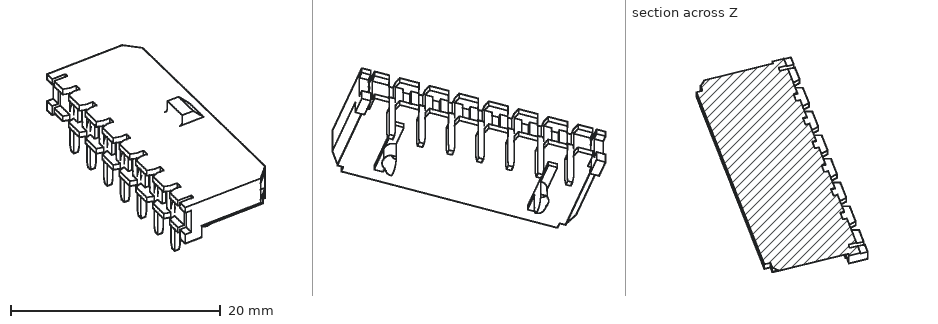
import cadquery as cq
import math


OVERALL_HEIGHT = 8.76

WIDTH = 24.65
DEPTH = 9.9
TOP_Z = 4.36
BASE_Z = 0.5
HALF_WIDTH = WIDTH / 2
CORNER_CHAMFER = 1.4
CORNER_X = HALF_WIDTH - CORNER_CHAMFER
EDGE_BEVEL = 0.79
EDGE_BEVEL_Z = 0.63

REAR_WALL_Y = 0.7
UPPER_FLANGE_Z = TOP_Z - 0.65
LOWER_FLANGE_Z = BASE_Z + 0.61
GROOVE_WIDTH = 0.8
GROOVE_DEPTH = 0.4

FOOT_WIDTH = 0.93
FOOT_LENGTH = 1.88
SLOT_OUTER_X = HALF_WIDTH - FOOT_WIDTH
SLOT_WIDTH = 0.36
SLOT_DEPTH = 1.5
CHANNEL_Z = 2.74

UPPER_RELIEF_Z = 1.74
LOWER_RELIEF_Z = 1.45
LOWER_RELIEF_DEPTH = CORNER_CHAMFER - EDGE_BEVEL

PIN_COUNT = 7
PITCH = 3.0
PIN_SIZE = 0.64
PIN_LENGTH = 3.2
PIN_TIP_LENGTH = 0.68
PIN_TIP_SIZE = 0.5
PIN_SLOT_DEPTH = 0.69
BEND_BOTTOM_Z = 1.53
BEND_TOP_Z = 2.8
NOTCH_WIDTH = 1.06

LATCH_WIDTH = 2.62
LATCH_HEIGHT = OVERALL_HEIGHT - PIN_LENGTH - TOP_Z
LATCH_TOE_Y = DEPTH - 0.85
LATCH_CREST_Y = DEPTH - 2.02
LATCH_BACK_Y = DEPTH - 3.27
LATCH_FILLET = 0.3

RAIL_FRONT_Y = DEPTH - 1.7
RAIL_REAR_Y = DEPTH - 7.73
PEG_FLAT_X = 7.3
PEG_Y = DEPTH - 4.59
PEG_RADIUS = 0.905
BARB_RADIUS = 1.06
BARB_Z = -1.8
DOME_RADIUS = 0.7
DOME_HEIGHT = 0.42

PIN_XS = [(i - (PIN_COUNT - 1) / 2) * PITCH for i in range(PIN_COUNT)]


def block(x0, x1, y0, y1, z0, z1):
    """Axis-aligned box between the given limits."""
    return cq.Workplane("XY").box(x1 - x0, y1 - y0, z1 - z0, centered=False).translate((x0, y0, z0))


def both_ends(shape):
    """The shape on the +X end joined with its mirror on the -X end."""
    return shape.union(shape.mirror("YZ"))


def make_housing():
    """Housing block with chamfered front corners and a set-in rear wall."""
    body = block(-HALF_WIDTH, HALF_WIDTH, 0, DEPTH, BASE_Z, TOP_Z)
    body = body.edges("|Z and >Y").chamfer(CORNER_CHAMFER)
    body = body.cut(block(-HALF_WIDTH, HALF_WIDTH, 0, REAR_WALL_Y, LOWER_FLANGE_Z, UPPER_FLANGE_Z))
    for left, right in zip(PIN_XS, PIN_XS[1:]):
        middle = (left + right) / 2
        groove_floor = REAR_WALL_Y + GROOVE_DEPTH
        body = body.cut(block(middle - GROOVE_WIDTH / 2, middle + GROOVE_WIDTH / 2,
                              REAR_WALL_Y, groove_floor, LOWER_FLANGE_Z, UPPER_FLANGE_Z))
    return body


def make_edge_bevel():
    """Material removed along the lower +X edge, in front of the foot."""
    inner_x = HALF_WIDTH - EDGE_BEVEL
    return (
        cq.Workplane("XZ", origin=(0, FOOT_LENGTH, 0))
        .moveTo(HALF_WIDTH, EDGE_BEVEL_Z + EDGE_BEVEL)
        .lineTo(inner_x, EDGE_BEVEL_Z)
        .lineTo(inner_x, BASE_Z)
        .lineTo(HALF_WIDTH, BASE_Z)
        .close()
        .extrude(-(DEPTH - FOOT_LENGTH))
    )


def make_end_cuts():
    """Bevel, corner reliefs, rear slot and through channel of the +X end."""
    slot_inner_x = SLOT_OUTER_X - SLOT_WIDTH
    upper_relief = block(CORNER_X, HALF_WIDTH, DEPTH - CORNER_CHAMFER, DEPTH,
                         UPPER_RELIEF_Z, UPPER_FLANGE_Z)
    lower_relief = block(CORNER_X, HALF_WIDTH, DEPTH - LOWER_RELIEF_DEPTH, DEPTH,
                         BASE_Z, LOWER_RELIEF_Z)
    slot = block(slot_inner_x, SLOT_OUTER_X, 0, SLOT_DEPTH, BASE_Z, TOP_Z)
    channel = block(CORNER_X, SLOT_OUTER_X, SLOT_DEPTH, DEPTH, CHANNEL_Z, UPPER_FLANGE_Z)
    return make_edge_bevel().union(upper_relief).union(lower_relief).union(slot).union(channel)


def make_foot():
    """Standing foot below the rear of the +X end."""
    return block(SLOT_OUTER_X, HALF_WIDTH, 0, FOOT_LENGTH, 0, LOWER_FLANGE_Z)


def make_pin_recess(x):
    """Flared notch through both flanges and the slot down to the contact bend."""
    flare = (
        cq.Workplane("XY", origin=(x, 0, BASE_Z))
        .moveTo(-NOTCH_WIDTH / 2, 0)
        .lineTo(-PIN_SIZE / 2, REAR_WALL_Y)
        .lineTo(PIN_SIZE / 2, REAR_WALL_Y)
        .lineTo(NOTCH_WIDTH / 2, 0)
        .close()
        .extrude(TOP_Z - BASE_Z)
    )
    slot_floor = REAR_WALL_Y + PIN_SLOT_DEPTH
    rise = BEND_TOP_Z - BEND_BOTTOM_Z
    bend_radius = (PIN_SLOT_DEPTH**2 + rise**2) / (2 * PIN_SLOT_DEPTH)
    half_angle = math.asin(rise / bend_radius) / 2
    arc_mid_y = REAR_WALL_Y + bend_radius * (1 - math.cos(half_angle))
    arc_mid_z = BEND_BOTTOM_Z + bend_radius * math.sin(half_angle)
    slot = (
        cq.Workplane("YZ", origin=(x - PIN_SIZE / 2, 0, 0))
        .moveTo(REAR_WALL_Y, BEND_BOTTOM_Z)
        .threePointArc((arc_mid_y, arc_mid_z), (slot_floor, BEND_TOP_Z))
        .lineTo(slot_floor, TOP_Z)
        .lineTo(REAR_WALL_Y, TOP_Z)
        .close()
        .extrude(PIN_SIZE)
    )
    return flare.union(slot)


def make_pin(x):
    """Square contact leg, flush with the rear wall, with a tapered tip."""
    tip_z = PIN_TIP_LENGTH - PIN_LENGTH
    leg = block(x - PIN_SIZE / 2, x + PIN_SIZE / 2, REAR_WALL_Y, REAR_WALL_Y + PIN_SIZE,
                tip_z, BEND_BOTTOM_Z)
    tip = (
        cq.Workplane("XY", origin=(x, REAR_WALL_Y + PIN_SIZE / 2, tip_z))
        .rect(PIN_SIZE, PIN_SIZE)
        .workplane(offset=-PIN_TIP_LENGTH)
        .rect(PIN_TIP_SIZE, PIN_TIP_SIZE)
        .loft()
    )
    return leg.union(tip)


def make_latch():
    """Latch ramp with a concave fillet at the foot of its steep rear side."""
    crest_z = TOP_Z + LATCH_HEIGHT
    fillet_mid = LATCH_FILLET * (1 - math.sqrt(0.5))
    return (
        cq.Workplane("YZ", origin=(-LATCH_WIDTH / 2, 0, 0))
        .moveTo(LATCH_TOE_Y, TOP_Z)
        .lineTo(LATCH_CREST_Y, crest_z)
        .lineTo(LATCH_BACK_Y, crest_z)
        .lineTo(LATCH_BACK_Y, TOP_Z + LATCH_FILLET)
        .threePointArc((LATCH_BACK_Y - fillet_mid, TOP_Z + fillet_mid),
                       (LATCH_BACK_Y - LATCH_FILLET, TOP_Z))
        .close()
        .extrude(LATCH_WIDTH)
    )


def make_peg():
    """Rail and half-round snap peg on the +X side."""
    rail = block(PEG_FLAT_X, PEG_FLAT_X + PEG_RADIUS, RAIL_REAR_Y, RAIL_FRONT_Y, 0, BASE_Z)
    dome_z = DOME_HEIGHT - PIN_LENGTH
    sphere_radius = (DOME_RADIUS**2 + DOME_HEIGHT**2) / (2 * DOME_HEIGHT)
    half_angle = math.asin(DOME_RADIUS / sphere_radius) / 2
    dome_mid = (sphere_radius * math.sin(half_angle),
                sphere_radius * (1 - math.cos(half_angle)) - PIN_LENGTH)
    peg = (
        cq.Workplane("XZ")
        .lineTo(PEG_RADIUS, 0)
        .lineTo(PEG_RADIUS, BARB_Z)
        .lineTo(BARB_RADIUS, BARB_Z)
        .lineTo(DOME_RADIUS, dome_z)
        .threePointArc(dome_mid, (0, -PIN_LENGTH))
        .close()
        .revolve(360, (0, 0, 0), (0, 1, 0))
    )
    kept = block(0, BARB_RADIUS, -PEG_RADIUS, PEG_RADIUS, -PIN_LENGTH, 0)
    return rail.union(peg.intersect(kept).translate((PEG_FLAT_X, PEG_Y, 0)))


result = make_housing().cut(both_ends(make_end_cuts()))
result = result.union(both_ends(make_foot())).union(both_ends(make_peg())).union(make_latch())
for pin_x in PIN_XS:
    result = result.cut(make_pin_recess(pin_x)).union(make_pin(pin_x))